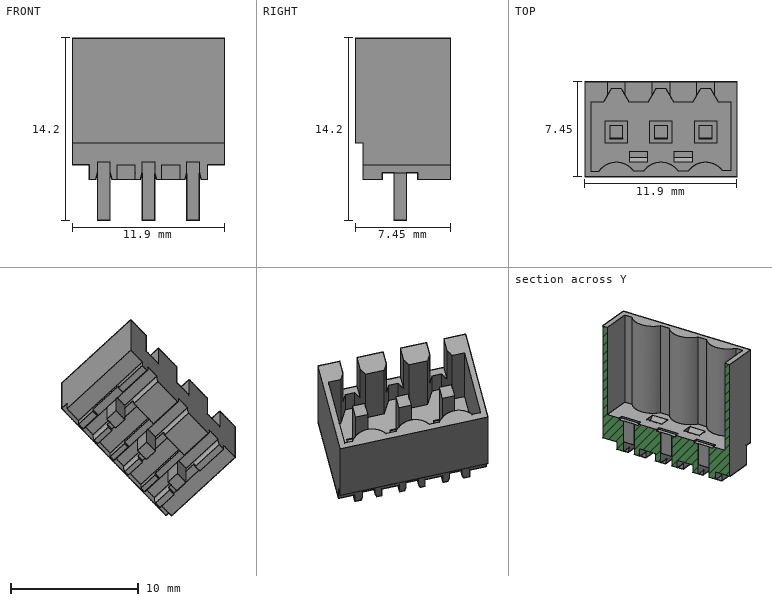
import cadquery as cq


WIDTH = 11.9
DEPTH = 7.45
TOP_Z = 14.25
BASE_Z = 4.35
PITCH = 3.49
PIN_XS = [-PITCH, 0.0, PITCH]
LATCH_XS = [-PITCH / 2, PITCH / 2]
FRONT_Y = -DEPTH / 2
BACK_Y = DEPTH / 2

STEP_Z = 6.04
STEP_DEPTH = 0.58
LOWER_FRONT_Y = FRONT_Y + STEP_DEPTH

FLOOR_Z = 6.55
SIDE_WALL = 0.47
BACK_WALL = 1.58
FRONT_WALL_LEFT = 0.43
FRONT_WALL_MIDDLE = 0.47
FRONT_WALL_RIGHT = 0.51
RIB_RADIUS = 1.65
RIB_HEIGHT = 1.15

GROOVE_DEPTH = 1.05
GROOVE_MOUTH = 1.98
GROOVE_BOTTOM = 0.75
SLOT_WIDTH = 1.38
SLOT_FLOOR_Z = 9.22

LATCH_WIDTH = 1.42
LATCH_BACK_Y = -1.72
LATCH_RAMP_Y = -2.2
LATCH_FRONT_Y = -2.56
LATCH_DEPTH = 0.37

FEET_WIDTH = 9.26
FEET_Z = 3.19
NOTCH_Z = 3.7
NOTCH_BACK_Y = 1.14
NOTCH_FRONT_Y = -1.61
CHANNEL_Z = 4.56
FLARE_WIDTH = 0.13
FLARE_HEIGHT = 0.51

PIN_SIZE = 1.0
PIN_Y = -0.21
PIN_TOP_Z = 13.0
PIN_HOLE_GAP = 0.04
PIN_RECESS_SIZE = 1.75
PIN_RECESS_DEPTH = 0.14


def block(x_range, y_range, z_range):
    """Box between two limits on each axis."""
    lengths = [limits[1] - limits[0] for limits in (x_range, y_range, z_range)]
    corner = (x_range[0], y_range[0], z_range[0])
    return cq.Workplane("XY").box(*lengths, centered=False).translate(corner)


def centred(middle, size):
    """Limits of a length centred on a place."""
    return (middle - size / 2, middle + size / 2)


def body_and_feet():
    """Solid outer form: upper shell, lower shell set back at the front, and feet."""
    upper = block(centred(0, WIDTH), (FRONT_Y, BACK_Y), (STEP_Z, TOP_Z))
    lower = block(centred(0, WIDTH), (LOWER_FRONT_Y, BACK_Y), (BASE_Z, STEP_Z))
    feet = block(centred(0, FEET_WIDTH), (LOWER_FRONT_Y, BACK_Y), (FEET_Z, BASE_Z))
    notch = block(centred(0, FEET_WIDTH), (NOTCH_FRONT_Y, NOTCH_BACK_Y), (FEET_Z, NOTCH_Z))
    return upper.union(lower).union(feet).cut(notch)


def cavity():
    """Plug space: stepped front wall with three round ribs, V grooves at the back."""
    half_width = WIDTH / 2 - SIDE_WALL
    back_y = BACK_Y - BACK_WALL
    heights = (FLOOR_Z, TOP_Z)
    space = block((-half_width, PIN_XS[0]), (FRONT_Y + FRONT_WALL_LEFT, back_y), heights)
    space = space.union(block((PIN_XS[0], PIN_XS[2]), (FRONT_Y + FRONT_WALL_MIDDLE, back_y), heights))
    space = space.union(block((PIN_XS[2], half_width), (FRONT_Y + FRONT_WALL_RIGHT, back_y), heights))
    for x in PIN_XS:
        rib = (
            cq.Workplane("XY", origin=(x, FRONT_Y + RIB_HEIGHT - RIB_RADIUS, FLOOR_Z))
            .circle(RIB_RADIUS)
            .extrude(TOP_Z - FLOOR_Z)
        )
        groove = (
            cq.Workplane("XY", origin=(x, back_y, FLOOR_Z))
            .polyline([
                (-GROOVE_MOUTH / 2, 0),
                (-GROOVE_BOTTOM / 2, GROOVE_DEPTH),
                (GROOVE_BOTTOM / 2, GROOVE_DEPTH),
                (GROOVE_MOUTH / 2, 0),
            ])
            .close()
            .extrude(TOP_Z - FLOOR_Z)
        )
        space = space.cut(rib).union(groove)
    return space


def back_slot(x):
    """Slot through the back wall, open at the top."""
    return block(centred(x, SLOT_WIDTH), (BACK_Y - BACK_WALL, BACK_Y), (SLOT_FLOOR_Z, TOP_Z))


def latch_recess(x):
    """Recess in the cavity floor with a ramp up to the front."""
    return (
        cq.Workplane("YZ", origin=(x, 0, FLOOR_Z))
        .polyline([
            (LATCH_BACK_Y, 0),
            (LATCH_BACK_Y, -LATCH_DEPTH),
            (LATCH_RAMP_Y, -LATCH_DEPTH),
            (LATCH_FRONT_Y, 0),
        ])
        .close()
        .extrude(LATCH_WIDTH / 2, both=True)
    )


def front_pocket(x):
    """Gap through the front feet, below a latch recess."""
    return block(centred(x, LATCH_WIDTH), (LOWER_FRONT_Y, NOTCH_BACK_Y), (FEET_Z, BASE_Z))


def foot_channel(x):
    """Channel along Y at one pin; its mouth flares out at the bottom."""
    half_width = PIN_SIZE / 2
    mouth = half_width + FLARE_WIDTH
    flare_top_z = FEET_Z + FLARE_HEIGHT
    return (
        cq.Workplane("XZ", origin=(x, BACK_Y, 0))
        .polyline([
            (-half_width, CHANNEL_Z),
            (half_width, CHANNEL_Z),
            (half_width, flare_top_z),
            (mouth, FEET_Z),
            (-mouth, FEET_Z),
            (-half_width, flare_top_z),
        ])
        .close()
        .extrude(BACK_Y - LOWER_FRONT_Y)
    )


def pin_hole(x):
    """Square hole through the floor, with a small gap at the front and a recess around the pin."""
    hole_y = (PIN_Y - PIN_SIZE / 2 - PIN_HOLE_GAP, PIN_Y + PIN_SIZE / 2)
    hole = block(centred(x, PIN_SIZE), hole_y, (CHANNEL_Z, FLOOR_Z))
    recess_z = (FLOOR_Z - PIN_RECESS_DEPTH, FLOOR_Z)
    recess = block(centred(x, PIN_RECESS_SIZE), centred(PIN_Y, PIN_RECESS_SIZE), recess_z)
    return hole.union(recess)


def make_housing():
    body = body_and_feet().cut(cavity())
    for x in PIN_XS:
        body = body.cut(back_slot(x)).cut(foot_channel(x)).cut(pin_hole(x))
    for x in LATCH_XS:
        body = body.cut(latch_recess(x)).cut(front_pocket(x))
    return body


def make_pin(x):
    return block(centred(x, PIN_SIZE), centred(PIN_Y, PIN_SIZE), (0, PIN_TOP_Z))


housing = make_housing()
pins = [make_pin(x) for x in PIN_XS]
result = cq.Compound.makeCompound([housing.solids().val(), *[pin.val() for pin in pins]])